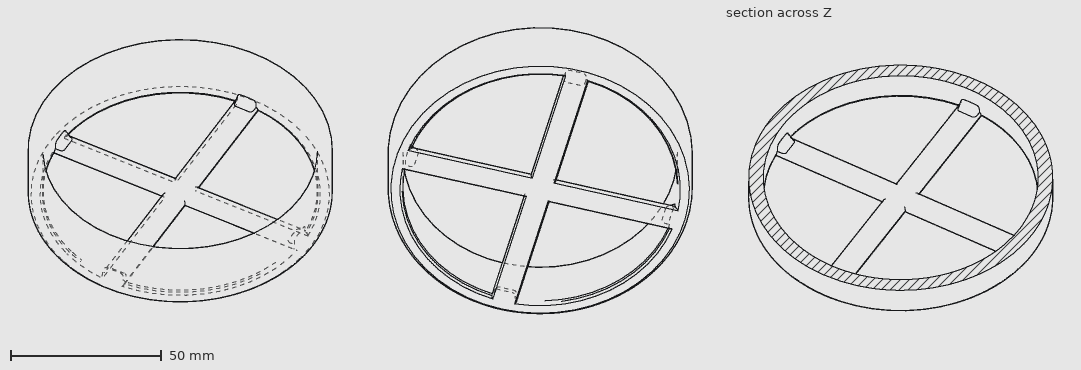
import cadquery as cq

outer_diameter = 101.0
bore_diameter = 91.0
ring_height = 22.0
rim_fillet = 1.0
foot_chamfer = 1.0

arm_width = 8.5
arm_thickness = 2.0
arm_fillet = 0.7
arm_chamfer = 0.5

gusset_width = arm_width - 2 * arm_fillet
gusset_reach = 3.0
gusset_rise = 3.0
gusset_fillet = 1.0

outer_radius = outer_diameter / 2
bore_radius = bore_diameter / 2
mid_wall_radius = (outer_radius + bore_radius) / 2


def make_ring():
    """Round band: chamfered foot, and every circular edge above the base rounded."""
    ring = cq.Workplane("XY").circle(outer_radius).circle(bore_radius).extrude(ring_height)
    ring = ring.faces("<Z").edges().chamfer(foot_chamfer)
    return ring.edges("%CIRCLE").edges("not <Z").fillet(rim_fillet)


def make_bar():
    """Bar along X that ends inside the wall: chamfered base, long edges above the base rounded."""
    bar_length = 2 * mid_wall_radius
    bar = cq.Workplane("XY").box(bar_length, arm_width, arm_thickness, centered=(True, True, False))
    bar = bar.faces("<Z").edges("|X").chamfer(arm_chamfer)
    return bar.edges("|X").edges("not <Z").fillet(arm_fillet)


def make_gusset():
    """Wedge on top of the +X arm, rising towards the bore, with rounded slope edges."""
    toe_radius = bore_radius - gusset_reach
    base_z = arm_thickness / 2
    top_z = arm_thickness + gusset_rise
    wedge = (
        cq.Workplane("XZ")
        .moveTo(toe_radius, base_z)
        .lineTo(toe_radius, arm_thickness)
        .lineTo(bore_radius, top_z)
        .lineTo(mid_wall_radius, top_z)
        .lineTo(mid_wall_radius, base_z)
        .close()
        .extrude(gusset_width / 2, both=True)
    )
    slope_direction = (gusset_reach, 0, gusset_rise)
    slope_edges = cq.selectors.ParallelDirSelector(cq.Vector(*slope_direction))
    return wedge.edges(slope_edges).fillet(gusset_fillet)


def turned(body, angle):
    """Copy of a body turned about the ring axis."""
    return body.rotate((0, 0, 0), (0, 0, 1), angle)


bar = make_bar()
gusset = make_gusset()
result = make_ring().union(bar).union(turned(bar, 90))
for quarter_turn in range(4):
    result = result.union(turned(gusset, 90 * quarter_turn))